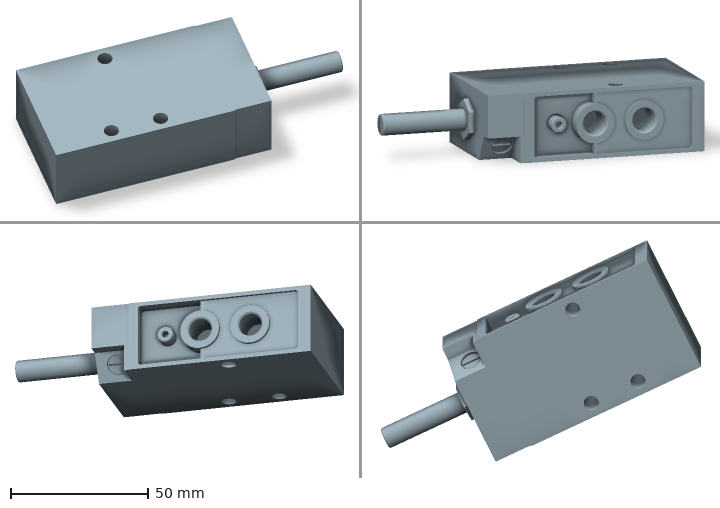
import cadquery as cq
import math

total_length = 117.0
body_width = 45.0
height = 26.0
body_length = 68.9

head_width = 44.3
head_length = 14.2
slope_top_z = -3.0
slope_start_y = 70.7
ledge_depth = 4.7
slope_angle = 30.0

screw_diameter = 7.0
screw_seat_diameter = 8.0
screw_seat_depth = 1.0
screw_setback = 0.6
slot_width = 0.8
slot_depth = 1.8
screw_y = 75.1
screw_z = -7.5

nut_across_flats = 13.2
nut_thickness = 2.1
rod_diameter = 8.0
rod_chamfer = 0.4

recess_front_y = 4.8
recess_back_y = 65.4
recess_height = 22.9
recess_corner_radius = 1.2
shallow_depth = 1.2
deep_depth = 5.4

port_pitch = 19.0
front_port_y = 23.0
port_diameter = 14.6
rear_insert_length = 8.2
bore_diameter = 8.5
bore_chamfer = 0.6
bore_depth = 11.7

pin_y = 55.5
pin_diameter = 5.8
pin_setback = 1.2
pin_chamfer = 0.4
pin_seat_diameter = 7.0
pin_hole_diameter = 2.5
pin_hole_chamfer = 0.2
pin_hole_depth = 3.5

mount_hole_diameter = 5.5
mount_hole_x = 17.4

side_x = -body_width / 2
rear_port_y = front_port_y + port_pitch
head_back_y = body_length + head_length
nut_back_y = head_back_y + nut_thickness
pin_seat_depth = (pin_seat_diameter - pin_diameter) / 2


def block(width, y_start, y_end):
    """Full-height block centred on x = 0."""
    return (
        cq.Workplane("XY")
        .box(width, y_end - y_start, height, centered=(True, False, True))
        .translate((0, y_start, 0))
    )


def side_plane(depth, y):
    """Plane parallel to the -X side, sunk by depth, with its normal pointing into the body."""
    return cq.Workplane(cq.Plane((side_x + depth, y, 0), (0, -1, 0), (1, 0, 0)))


def rear_plane(y):
    """Plane facing +Y, with local x along -X and local y along Z."""
    return cq.Workplane(cq.Plane((0, y, 0), (-1, 0, 0), (0, 1, 0)))


def recess():
    """Rounded rectangular recess with a step at the rear port."""
    length = recess_back_y - recess_front_y
    middle_y = (recess_back_y + recess_front_y) / 2
    pocket = (
        side_plane(0, middle_y)
        .rect(length, recess_height)
        .extrude(deep_depth)
        .edges("|X")
        .fillet(recess_corner_radius)
    )
    step = (
        side_plane(shallow_depth, rear_port_y)
        .rect(2 * rear_port_y, height)
        .extrude(deep_depth)
        .intersect(block(body_width, 0, rear_port_y))
    )
    return pocket.cut(step)


def mounting_holes():
    """Through holes: one between the ports, two in line with them on the far side."""
    places = [(mount_hole_x, y) for y in (front_port_y, rear_port_y)]
    places.append((-mount_hole_x, (front_port_y + rear_port_y) / 2))
    return (
        cq.Workplane("XY", origin=(0, 0, -height / 2))
        .pushPoints(places)
        .circle(mount_hole_diameter / 2)
        .extrude(height)
    )


def tapered_entry(plane, diameter, chamfer):
    """Cone that narrows by one chamfer at 45 degrees down to the given diameter."""
    return plane.circle(diameter / 2 + chamfer).extrude(chamfer, taper=45)


def port_bore(y):
    """Blind bore with a chamfered mouth."""
    bore = side_plane(0, y).circle(bore_diameter / 2).extrude(bore_depth)
    return bore.union(tapered_entry(side_plane(0, y), bore_diameter, bore_chamfer))


def pin():
    """Hollow-ended pin reaching from its seat to just below the -X side."""
    shank = (
        side_plane(pin_setback, pin_y)
        .circle(pin_diameter / 2)
        .extrude(deep_depth + pin_seat_depth - pin_setback)
        .faces("<X")
        .chamfer(pin_chamfer)
    )
    hole = side_plane(pin_setback, pin_y).circle(pin_hole_diameter / 2).extrude(pin_hole_depth)
    mouth = tapered_entry(side_plane(pin_setback, pin_y), pin_hole_diameter, pin_hole_chamfer)
    return shank.cut(hole).cut(mouth)


def corner_cut():
    """Corner removed from the lower -X side of the head: a flat ledge, a sloped wall and the screw in it."""
    head_side_x = -head_width / 2
    slope_top_x = head_side_x + ledge_depth
    bottom_z = -height / 2
    slope = math.tan(math.radians(slope_angle))
    corner = (
        cq.Workplane("XZ", origin=(0, head_back_y, 0))
        .moveTo(head_side_x, slope_top_z)
        .lineTo(slope_top_x, slope_top_z)
        .lineTo(slope_top_x + (slope_top_z - bottom_z) * slope, bottom_z)
        .lineTo(head_side_x, bottom_z)
        .close()
        .extrude(head_back_y - slope_start_y)
    )
    inward = (math.cos(math.radians(slope_angle)), 0, math.sin(math.radians(slope_angle)))
    screw_x = slope_top_x + (slope_top_z - screw_z) * slope
    face = cq.Workplane(cq.Plane((screw_x, screw_y, screw_z), (0, -1, 0), inward))
    seat = face.circle(screw_seat_diameter / 2).extrude(screw_seat_depth)
    screw_end = screw_setback + slot_depth
    screw = face.workplane(offset=screw_setback).circle(screw_diameter / 2).extrude(slot_depth)
    slot = face.rect(screw_diameter, slot_width).extrude(screw_end).intersect(screw)
    return corner.union(seat).cut(screw).union(slot)


def nut_and_rod():
    """Hexagonal nut with corners up and down, and the plunger rod behind it."""
    across_corners = nut_across_flats / math.cos(math.radians(30))
    nut = (
        rear_plane(head_back_y)
        .transformed(rotate=(0, 0, 90))
        .polygon(6, across_corners)
        .extrude(nut_thickness)
    )
    rod = (
        rear_plane(nut_back_y)
        .circle(rod_diameter / 2)
        .extrude(total_length - nut_back_y)
        .faces(">Y")
        .chamfer(rod_chamfer)
    )
    return nut.union(rod)


body = block(body_width, 0, body_length).cut(recess()).cut(mounting_holes())

for port_y, insert_length in ((front_port_y, shallow_depth), (rear_port_y, rear_insert_length)):
    insert = side_plane(0, port_y).circle(port_diameter / 2).extrude(insert_length)
    body = body.union(insert).cut(port_bore(port_y))

pin_seat = tapered_entry(side_plane(deep_depth, pin_y), pin_diameter, pin_seat_depth)
body = body.cut(pin_seat).union(pin())

head = block(head_width, body_length, head_back_y).cut(corner_cut())

result = body.union(head).union(nut_and_rod())